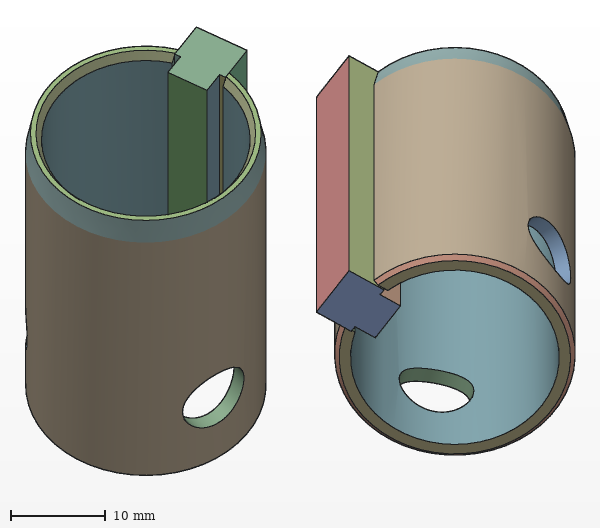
import cadquery as cq
import math

TOTAL_HEIGHT = 41.3

OUTER_DIAMETER = 25.4
BORE_DIAMETER = 22.0
SLEEVE_BOTTOM = 0.3
BOTTOM_CHAMFER = 0.5
TOP_TAPER_HEIGHT = 3.0
TOP_TAPER_ANGLE = 10.0
BORE_CHAMFER_WIDTH = 0.58
BORE_CHAMFER_HEIGHT = 1.0

HOLE_DIAMETER = 8.0
HOLE_HEIGHT = 10.3
HOLE_TILT = 22.5
HOLE_DIRECTIONS = (-HOLE_TILT, 180.0 + HOLE_TILT)

KEY_WIDTH = 6.27
TONGUE_WIDTH = 4.85
KEY_BACK = 15.45
KEY_STEP = 11.02
KEY_FRONT = 8.45

outer_radius = OUTER_DIAMETER / 2
bore_radius = BORE_DIAMETER / 2
top_taper_width = TOP_TAPER_HEIGHT * math.tan(math.radians(TOP_TAPER_ANGLE))


def make_sleeve_blank():
    """Revolve the wall section, with its outer taper and both chamfers."""
    section = [
        (bore_radius, SLEEVE_BOTTOM),
        (outer_radius - BOTTOM_CHAMFER, SLEEVE_BOTTOM),
        (outer_radius, SLEEVE_BOTTOM + BOTTOM_CHAMFER),
        (outer_radius, TOTAL_HEIGHT - TOP_TAPER_HEIGHT),
        (outer_radius - top_taper_width, TOTAL_HEIGHT),
        (bore_radius + BORE_CHAMFER_WIDTH, TOTAL_HEIGHT),
        (bore_radius, TOTAL_HEIGHT - BORE_CHAMFER_HEIGHT),
    ]
    return cq.Workplane("XZ").polyline(section).close().revolve(360, (0, 0), (0, 1))


def make_key_slot():
    """Full-height slot through the +Y wall, as wide as the key head."""
    return (
        cq.Workplane("XY")
        .rect(KEY_WIDTH, KEY_BACK)
        .extrude(TOTAL_HEIGHT)
        .translate((0, KEY_BACK / 2, 0))
    )


def make_radial_hole(direction):
    """Cylinder from the sleeve axis outward, at an angle from +X in degrees."""
    return (
        cq.Workplane("YZ")
        .center(0, HOLE_HEIGHT)
        .circle(HOLE_DIAMETER / 2)
        .extrude(OUTER_DIAMETER)
        .rotate((0, 0, 0), (0, 0, 1), direction)
    )


def make_sleeve():
    sleeve = make_sleeve_blank().cut(make_key_slot())
    for direction in HOLE_DIRECTIONS:
        sleeve = sleeve.cut(make_radial_hole(direction))
    return sleeve.solids()


def make_key():
    """T-shaped bar whose head fills the slot and whose tongue enters the bore."""
    half_head = KEY_WIDTH / 2
    half_tongue = TONGUE_WIDTH / 2
    outline = [
        (-half_head, KEY_BACK),
        (half_head, KEY_BACK),
        (half_head, KEY_STEP),
        (half_tongue, KEY_STEP),
        (half_tongue, KEY_FRONT),
        (-half_tongue, KEY_FRONT),
        (-half_tongue, KEY_STEP),
        (-half_head, KEY_STEP),
    ]
    return cq.Workplane("XY").polyline(outline).close().extrude(TOTAL_HEIGHT)


sleeve = make_sleeve()
key = make_key()

result = cq.Compound.makeCompound([sleeve.val(), key.val()])